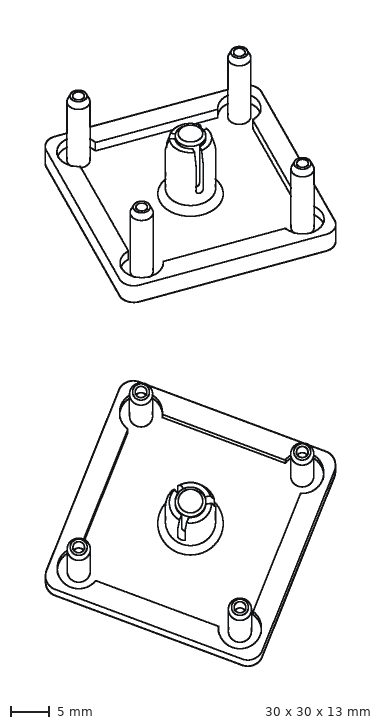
import cadquery as cq

plate_side = 30.0
plate_height = 3.0
corner_radius = 2.0
rim_width = 3.0
pocket_depth = 1.5
pocket_side = plate_side - 2 * rim_width
floor_z = plate_height - pocket_depth

post_spacing = 22.4
post_diameter = 3.0
post_tip_diameter = 2.2
post_top_z = 13.0
post_taper_height = 1.0
post_hole_diameter = 1.5
post_hole_depth = 3.0
lobe_diameter = 5.58

socket_diameter = 6.5
socket_tip_diameter = 5.5
socket_top_z = 11.5
socket_shoulder_z = 9.5
flare_diameter = 8.5
flare_height = (flare_diameter - socket_diameter) / 2
slot_count = 3
slot_width = 1.0
slot_bottom_z = 4.5

plug_diameter = 4.0
plug_tip_diameter = 3.18
plug_top_z = 12.3
plug_chamfer_height = (plug_diameter - plug_tip_diameter) / 2


def post_points():
    return cq.Workplane("XY").rect(post_spacing, post_spacing, forConstruction=True).vertices().vals()


def make_plate():
    plate = cq.Workplane("XY").rect(plate_side, plate_side).extrude(plate_height)
    plate = plate.edges("|Z").fillet(corner_radius)
    pocket = cq.Workplane("XY", origin=(0, 0, floor_z)).rect(pocket_side, pocket_side).extrude(pocket_depth)
    for point in post_points():
        lobe_origin = (point.X, point.Y, floor_z)
        lobe = cq.Workplane("XY", origin=lobe_origin).circle(lobe_diameter / 2).extrude(pocket_depth)
        pocket = pocket.union(lobe)
    return plate.cut(pocket)


def make_post(x, y):
    """Tapered post with a blind hole in its tip, turned about its own axis."""
    half_profile = [
        (0, floor_z),
        (post_diameter / 2, floor_z),
        (post_diameter / 2, post_top_z - post_taper_height),
        (post_tip_diameter / 2, post_top_z),
        (post_hole_diameter / 2, post_top_z),
        (post_hole_diameter / 2, post_top_z - post_hole_depth),
        (0, post_top_z - post_hole_depth),
    ]
    post = cq.Workplane("XZ").polyline(half_profile).close().revolve(360, (0, 0), (0, 1))
    return post.translate((x, y, 0))


def make_slot(angle):
    """Radial slot with a round bottom, open at the top of the socket."""
    slot_radius = slot_width / 2
    slot = (
        cq.Workplane("YZ")
        .moveTo(-slot_radius, socket_top_z)
        .lineTo(-slot_radius, slot_bottom_z + slot_radius)
        .threePointArc((0, slot_bottom_z), (slot_radius, slot_bottom_z + slot_radius))
        .lineTo(slot_radius, socket_top_z)
        .close()
        .extrude(socket_diameter)
    )
    return slot.rotate((0, 0, 0), (0, 0, 1), angle)


def make_socket():
    """Tapered socket with a flared foot and evenly spaced slots, still without its bore."""
    half_profile = [
        (0, floor_z),
        (flare_diameter / 2, floor_z),
        (socket_diameter / 2, floor_z + flare_height),
        (socket_diameter / 2, socket_shoulder_z),
        (socket_tip_diameter / 2, socket_top_z),
        (0, socket_top_z),
    ]
    socket = cq.Workplane("XZ").polyline(half_profile).close().revolve(360, (0, 0), (0, 1))
    for index in range(slot_count):
        socket = socket.cut(make_slot(index * 360 / slot_count))
    return socket


def make_housing():
    """Plate, posts and socket in one piece, with a bore down to the pocket floor."""
    housing = make_plate().union(make_socket())
    for point in post_points():
        housing = housing.union(make_post(point.X, point.Y))
    bore_height = socket_top_z - floor_z
    bore = cq.Workplane("XY", origin=(0, 0, floor_z)).circle(plug_diameter / 2).extrude(bore_height)
    return housing.cut(bore)


def make_plug():
    plug_height = plug_top_z - floor_z
    plug = cq.Workplane("XY", origin=(0, 0, floor_z)).circle(plug_diameter / 2).extrude(plug_height)
    return plug.faces(">Z").chamfer(plug_chamfer_height)


housing = make_housing()
plug = make_plug()
result = cq.Compound.makeCompound([housing.val(), plug.val()])